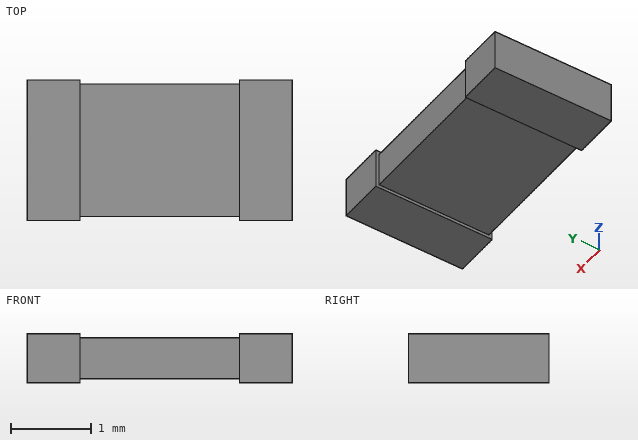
import cadquery as cq

overall_length = 3.3
terminal_length = 0.66
terminal_width = 1.75
terminal_height = 0.61
terminal_step = 0.05

body_length = overall_length - 2 * terminal_length
body_width = terminal_width - 2 * terminal_step
body_height = terminal_height - 2 * terminal_step
terminal_offset = (body_length + terminal_length) / 2


def make_body():
    """Plain block that fills the gap between the two terminals."""
    return cq.Workplane("XY").box(body_length, body_width, body_height)


def make_terminal(side):
    """End block, on the -X side for side = -1 and on the +X side for side = 1."""
    terminal = cq.Workplane("XY").box(terminal_length, terminal_width, terminal_height)
    return terminal.translate((side * terminal_offset, 0, 0))


body = make_body()
terminals = [make_terminal(side) for side in (-1, 1)]

result = cq.Compound.makeCompound([body.val(), *[terminal.val() for terminal in terminals]])